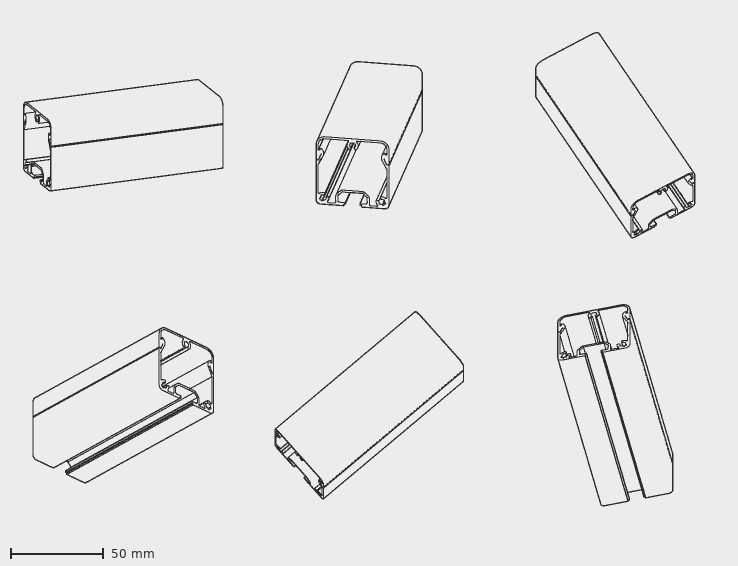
import cadquery as cq
import math

length = 100.0
side = 40.0
half = side / 2
wall = 1.2
inner = half - wall
cover_radius = 5.0
base_radius = 2.5

port_offset = 4.0
port_axis = half - port_offset
port_radius = 3.1
port_bore = 1.6
port_opening = 60.0
port_root_radius = 0.5
port_tip_radius = 0.4
relief_width = 1.8
relief_reach = 2.1

channel_half = 8.0
channel_top = -11.9
channel_floor = -18.0
channel_chamfer = 2.3
channel_corner_radius = 1.0
channel_shoulder_radius = 2.5
channel_foot_radius = 0.8
lip_half = 4.0
mouth_half = 4.9
mouth_depth = 0.9

hook_foot = 3.3
hook_flank = (-16.1, 8.5)
hook_bulge = (-15.8, 10.2)
hook_crown = (-17.0, 12.7)
hook_top = (-17.7, 12.9)
hook_mouth = (-18.6, 12.0)
seam_gap = 0.1
seam_height = 6.2
seam_knee = (-18.7, 6.1)
seam_end = (-17.3, 9.3)
seam_bevel = 0.5
catch_slit = (0.8, 0.1)


def extrude(sketch):
    return sketch.extrude(length / 2, both=True)


def plane(x=0, z=0):
    return cq.Workplane("XZ").center(x, z)


def block(x_min, x_max, z_min, z_max):
    middle = plane((x_min + x_max) / 2, (z_min + z_max) / 2)
    return extrude(middle.rect(x_max - x_min, z_max - z_min))


def prism(points):
    return extrude(plane().polyline(points).close())


def both_sides(body):
    return body.union(body.mirror("YZ"))


def round_edges(body, points, radius):
    """Round the lengthwise edges through the given points and their mirror images."""
    for x, z in points:
        for mirrored_x in (x, -x):
            edge = body.edges("|Y").edges(cq.NearestToPointSelector((mirrored_x, 0, z)))
            body = edge.fillet(radius)
    return body


def polar(x, z, radius, degrees):
    angle = math.radians(degrees)
    return (x + radius * math.cos(angle), z + radius * math.sin(angle))


def port_cut(x, z, direction):
    """Bore and wedge-shaped opening of a screw port facing the given direction."""
    bore = extrude(plane(x, z).circle(port_bore))
    reach = 2 * port_radius
    edges = [polar(x, z, reach, direction + turn * port_opening / 2) for turn in (-1, 1)]
    return bore.union(prism([(x, z)] + edges))


def make_shell():
    outer = block(-half, half, -half, half)
    outer = outer.edges("|Y and >Z").fillet(cover_radius)
    outer = outer.edges("|Y and <Z").fillet(base_radius)
    cavity = block(-inner, inner, -inner, inner)
    cavity = cavity.edges("|Y and >Z").fillet(cover_radius - wall)
    return outer.cut(cavity)


def add_channel(body):
    outer_half = channel_half + wall
    outer_top = channel_top + wall
    outer_chamfer = channel_chamfer + wall * (2 - math.sqrt(2))
    hood = block(-outer_half, outer_half, -half, outer_top)
    hood = hood.edges("|Y and >Z").chamfer(outer_chamfer)
    shoulders = [(-outer_half, outer_top - outer_chamfer), (outer_chamfer - outer_half, outer_top)]
    hood = round_edges(hood, shoulders, channel_shoulder_radius)
    slot = block(-channel_half, channel_half, channel_floor, channel_top)
    slot = slot.edges("|Y and >Z").chamfer(channel_chamfer)
    slot = slot.edges("|Y and <Z").fillet(channel_corner_radius)
    throat = block(-lip_half, lip_half, -half, channel_floor)
    mouth = block(-mouth_half, mouth_half, -half, -half + mouth_depth)
    body = body.union(hood).cut(slot).cut(throat).cut(mouth)
    return round_edges(body, [(-outer_half, -inner)], channel_foot_radius)


def add_top_port(body):
    body = body.union(extrude(plane(0, port_axis).circle(port_radius)))
    body = body.cut(port_cut(0, port_axis, -90))
    root = math.sqrt(port_radius**2 - (port_offset - wall) ** 2)
    return round_edges(body, [(-root, inner)], port_root_radius)


def add_corner_ports(body):
    x = z = -port_axis
    ring = extrude(plane(x, z).circle(port_radius))
    corner = block(-inner, x, -inner, z)
    body = body.union(both_sides(ring.union(corner)))
    relief = extrude(plane().center(-relief_reach / 2, 0).rect(relief_reach, relief_width))
    relief = relief.rotate((0, 0, 0), (0, 1, 0), -45).translate((x, 0, z))
    body = body.cut(both_sides(port_cut(x, z, 45).union(relief)))
    root = math.sqrt(port_radius**2 - (port_offset - wall) ** 2)
    body = round_edges(body, [(-inner, z + root), (x + root, -inner)], port_root_radius)
    tips = [polar(x, z, port_radius, 45 + turn * port_opening / 2) for turn in (-1, 1)]
    return round_edges(body, tips, port_tip_radius)


def add_hooks(body):
    hook = extrude(
        plane()
        .moveTo(-inner, hook_foot)
        .lineTo(*hook_flank)
        .threePointArc(hook_bulge, hook_crown)
        .threePointArc(hook_top, hook_mouth)
        .lineTo(-inner, hook_mouth[1])
        .close()
    )
    return body.union(both_sides(hook))


def cut_seams(body):
    """Thin seam under the cover edge, bevelled at the outer face, and the slit at the notch."""
    knee_x, knee_z = seam_knee
    end_x, end_z = seam_end
    seam = prism(
        [
            (-half, seam_height),
            (knee_x, knee_z),
            (end_x, end_z),
            (end_x + seam_gap, end_z),
            (knee_x + seam_gap, knee_z - seam_gap),
            (-half + seam_bevel, seam_height - seam_gap),
            (-half, seam_height - seam_gap - seam_bevel),
        ]
    )
    mouth_x, mouth_z = hook_mouth
    slit_length, slit_drop = catch_slit
    slit = prism(
        [
            (-inner, mouth_z),
            (mouth_x, mouth_z),
            (mouth_x + slit_length, mouth_z - slit_drop),
            (-inner, mouth_z - slit_drop),
        ]
    )
    return body.cut(both_sides(seam.union(slit)))


result = make_shell()
result = add_channel(result)
result = add_top_port(result)
result = add_corner_ports(result)
result = add_hooks(result)
result = cut_seams(result)